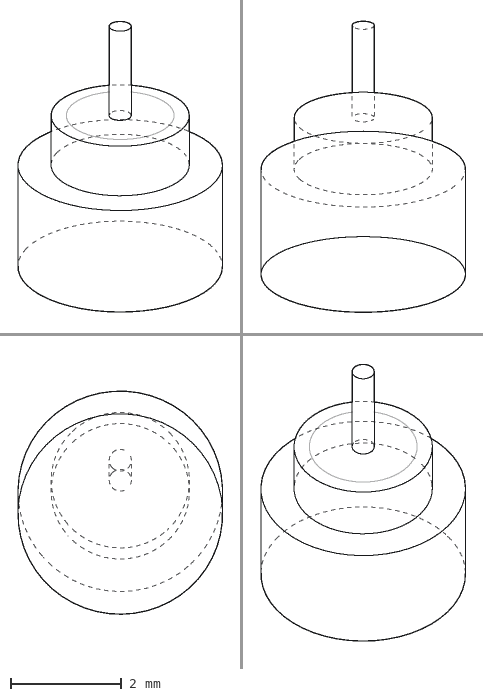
import cadquery as cq

BASE_DIAMETER = 3.7
BASE_HEIGHT = 2.05
COLLAR_DIAMETER = 2.5
COLLAR_HEIGHT = 1.0
SEAL_DIAMETER = 1.95
PIN_DIAMETER = 0.4
PIN_LENGTH = 1.8

COLLAR_TOP = BASE_HEIGHT + COLLAR_HEIGHT
PIN_TOP = COLLAR_TOP + PIN_LENGTH


def cylinder(diameter, bottom, top):
    """Upright cylinder on the Z axis between two levels."""
    return cq.Workplane("XY").workplane(offset=bottom).circle(diameter / 2).extrude(top - bottom)


def make_shell():
    """Stepped metal body with an opening in the collar for the seal."""
    base = cylinder(BASE_DIAMETER, 0, BASE_HEIGHT)
    collar = cylinder(COLLAR_DIAMETER, BASE_HEIGHT, COLLAR_TOP)
    opening = cylinder(SEAL_DIAMETER, BASE_HEIGHT, COLLAR_TOP)
    return base.union(collar).cut(opening)


def make_seal():
    """Disc that fills the collar opening, flush with the collar top."""
    return cylinder(SEAL_DIAMETER, BASE_HEIGHT, COLLAR_TOP)


def make_pin():
    """Slender contact pin standing on the seal."""
    return cylinder(PIN_DIAMETER, COLLAR_TOP, PIN_TOP)


result = make_shell().union(make_seal(), clean=False).union(make_pin(), clean=False)